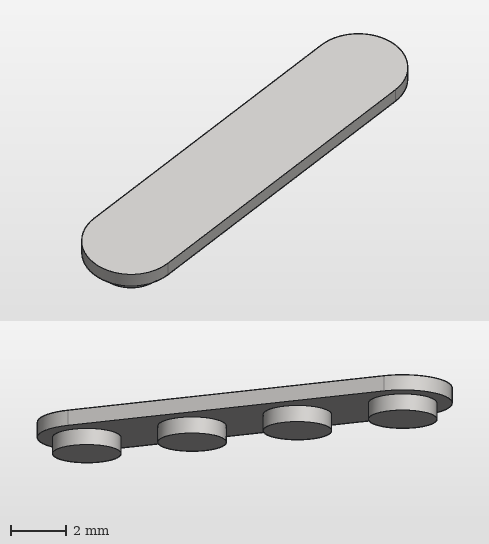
import cadquery as cq

plate_length = 16.0
plate_width = 3.6
total_height = 1.18
plate_thickness = 0.58
peg_diameter = 2.5
peg_count = 4

peg_height = total_height - plate_thickness
peg_pitch = (plate_length - plate_width) / (peg_count - 1)

plate = cq.Workplane("XY").slot2D(plate_length, plate_width, 90).extrude(plate_thickness)

pegs = (
    cq.Workplane("XY")
    .rarray(0.16, peg_pitch, 1, peg_count)
    .circle(peg_diameter / 2)
    .extrude(-peg_height)
)

result = plate.union(pegs)